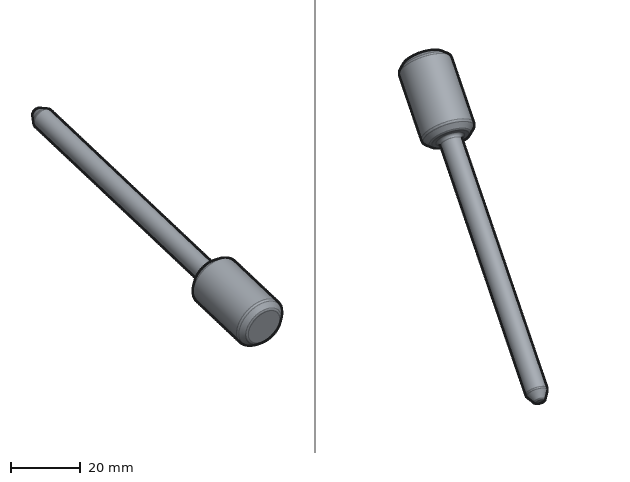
import cadquery as cq
import math

total_length = 111.0
pin_radius = 6.7 / 2
head_radius = 16.0 / 2
head_length = 26.0
head_start = total_length - head_length

tip_length = 3.0
tip_half_angle = math.radians(30)
tip_radius = pin_radius - tip_length * math.tan(tip_half_angle)

head_chamfer = 2.0
edge_round = 1.0
tip_round = 0.7

left_end = -total_length / 2


def revolved_body():
    """Sharp-edged pin and head, revolved about the X axis."""
    outline = [
        (0, 0),
        (0, tip_radius),
        (tip_length, pin_radius),
        (head_start, pin_radius),
        (head_start, head_radius - head_chamfer),
        (head_start + head_chamfer, head_radius),
        (total_length - head_chamfer, head_radius),
        (total_length, head_radius - head_chamfer),
        (total_length, 0),
    ]
    profile = cq.Workplane("XY").polyline(outline).close()
    return profile.revolve(360, (0, 0, 0), (1, 0, 0))


def round_edges(body):
    """Round every circular edge, using a smaller radius at the tip face."""
    body = body.faces("<X").edges("%CIRCLE").fillet(tip_round)
    rims = body.edges("%CIRCLE").edges(cq.selectors.BoxSelector(
        (tip_length / 2, -head_radius, -head_radius),
        (total_length + edge_round, head_radius, head_radius),
    ))
    return rims.fillet(edge_round)


result = round_edges(revolved_body()).translate((left_end, 0, 0))